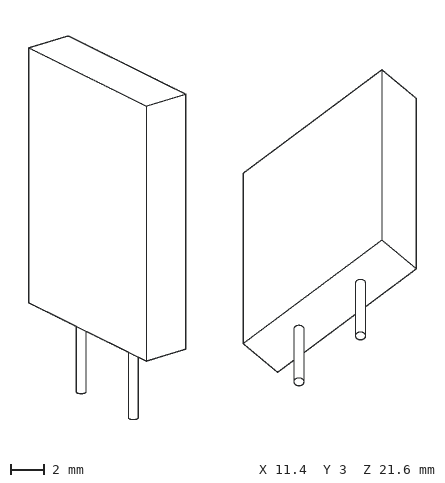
import cadquery as cq

total_height = 21.6
case_width = 11.4
case_depth = 3.0

lead_length = 5.1
lead_diameter = 0.6
lead_pitch = 5.05

case_height = total_height - lead_length


def make_case():
    """Plain rectangular case standing on the plane Z = 0."""
    return cq.Workplane("XY").box(case_width, case_depth, case_height, centered=(True, True, False))


def make_lead(x):
    """Straight round lead hanging from the underside of the case."""
    return cq.Workplane("XY").center(x, 0).circle(lead_diameter / 2).extrude(-lead_length)


case = make_case()
leads = [make_lead(side * lead_pitch / 2) for side in (-1, 1)]

result = cq.Compound.makeCompound([case.val(), *[lead.val() for lead in leads]])